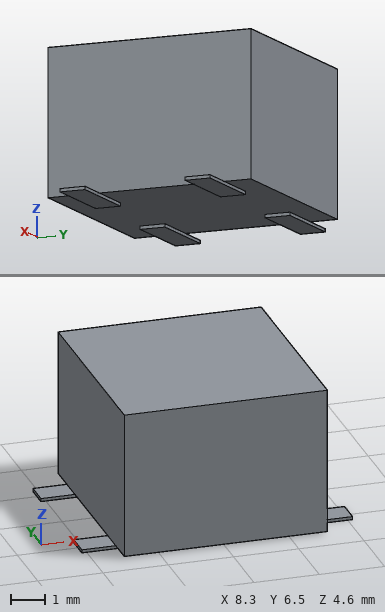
import cadquery as cq

overall_length = 8.3
housing_length = 6.225
housing_width = 6.5
overall_height = 4.6
lead_length = 2.55
lead_width = 0.8
lead_thickness = 0.1
lead_pitch = 4.0

housing_height = overall_height - lead_thickness
lead_center_x = (overall_length - lead_length) / 2
lead_center_y = lead_pitch / 2


def make_housing():
    """Plain block whose underside rests on the leads, at Z = 0."""
    return cq.Workplane("XY").box(
        housing_length, housing_width, housing_height, centered=(True, True, False)
    )


def make_lead(center_x, center_y):
    """Flat strip whose top face touches the underside of the housing."""
    strip = cq.Workplane("XY").box(lead_length, lead_width, lead_thickness)
    return strip.translate((center_x, center_y, -lead_thickness / 2))


housing = make_housing()

leads = []
for side_x in (-1, 1):
    for side_y in (-1, 1):
        leads.append(make_lead(side_x * lead_center_x, side_y * lead_center_y))

result = cq.Compound.makeCompound([housing.val(), *[lead.val() for lead in leads]])